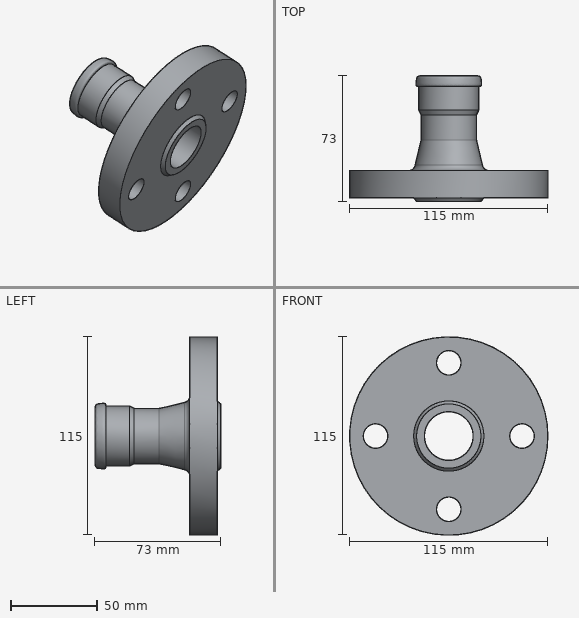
import cadquery as cq

flange_diameter = 115.0
flange_thickness = 16.0
bolt_hole_diameter = 14.0
bolt_circle_radius = 42.4
bolt_count = 4

face_height = 2.1
face_radius = 18.6
face_base_radius = 20.4

bore_diameter = 28.1
foot_radius = 22.5
foot_height = 3.1
cone_base_radius = 19.5
cone_length = 14.6
neck_radius = 16.1
neck_length = 14.5
step_length = 2.8
socket_radius = 17.5
socket_length = 13.6

bead_radius = 19.0
bead_end_radius = 15.4
bead_crest_height = 2.6
overall_length = 73.0

flange_back = face_height + flange_thickness
cone_start = flange_back + foot_height
neck_start = cone_start + cone_length
step_start = neck_start + neck_length
socket_start = step_start + step_length
bead_start = socket_start + socket_length


def make_body():
    """Revolve the outer profile of the raised face, flange and pipe stub about Y."""
    bead_crest = (bead_radius, bead_start + bead_crest_height)
    bead_end = (bead_end_radius, overall_length)
    outward = (1, 0)
    inward = (-1, 0)

    foot_sag = 0.5
    foot_middle = (
        (foot_radius + cone_base_radius) / 2 - foot_sag,
        flange_back + foot_height / 2 - foot_sag,
    )

    return (
        cq.Workplane("XY")
        .moveTo(0, 0)
        .lineTo(face_radius, 0)
        .lineTo(face_base_radius, face_height)
        .lineTo(flange_diameter / 2, face_height)
        .lineTo(flange_diameter / 2, flange_back)
        .lineTo(foot_radius, flange_back)
        .threePointArc(foot_middle, (cone_base_radius, cone_start))
        .lineTo(neck_radius, neck_start)
        .lineTo(neck_radius, step_start)
        .lineTo(socket_radius, socket_start)
        .lineTo(socket_radius, bead_start)
        .spline([bead_crest, bead_end], tangents=[outward, inward], includeCurrent=True)
        .lineTo(0, overall_length)
        .close()
        .revolve(360, (0, 0, 0), (0, 1, 0))
    )


def make_holes():
    """Through bore and the ring of bolt holes, running along +Y."""
    plane = cq.Workplane("XZ")
    bore = plane.circle(bore_diameter / 2).extrude(-overall_length)
    bolt_holes = (
        plane.polarArray(bolt_circle_radius, 0, 360, bolt_count)
        .circle(bolt_hole_diameter / 2)
        .extrude(-flange_back)
    )
    return bore.union(bolt_holes)


result = make_body().cut(make_holes())